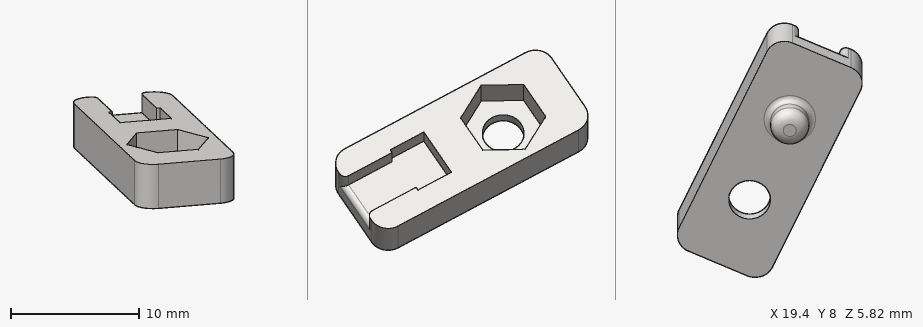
import cadquery as cq
import math

length = 19.43
width = 8.0
body_height = 3.6
corner_radius = 1.5

slot_width = 3.6
slot_depth = 1.5
entry_radius = 0.5
pocket_width = 4.15
pocket_start = -5.25
pocket_end = -2.2

bolt_x = 3.77
bolt_diameter = 3.25
nut_across_flats = 5.73
nut_depth = 2.6

pin_x = -3.75
pin_diameter = 3.0
pin_length = 2.22
pin_tip_radius = 1.0
pin_root_radius = 0.5


def box_between(x_start, x_end, y_size, depth):
    """Box centred on Y, reaching down from the top face."""
    return (
        cq.Workplane("XY", origin=((x_start + x_end) / 2, 0, body_height))
        .rect(x_end - x_start, y_size)
        .extrude(-depth)
    )


def make_body():
    return (
        cq.Workplane("XY")
        .rect(length, width)
        .extrude(body_height)
        .edges("|Z")
        .fillet(corner_radius)
    )


def cut_pocket(body):
    """Cut the slot, round its mouth, then cut the wider inner pocket."""
    slotted = body.cut(box_between(-length / 2, pocket_end, slot_width, slot_depth))
    mouth = cq.selectors.BoxSelector(
        (-length / 2 - 0.2, -slot_width / 2 - 0.2, body_height - slot_depth - 0.2),
        (-length / 2 + 0.2, slot_width / 2 + 0.2, body_height - 0.2),
    )
    rounded = slotted.edges(mouth).fillet(entry_radius)
    return rounded.cut(box_between(pocket_start, pocket_end, pocket_width, slot_depth))


def make_bolt_cutter():
    nut_across_corners = nut_across_flats / math.cos(math.pi / 6)
    nut = (
        cq.Workplane("XY", origin=(bolt_x, 0, body_height))
        .transformed(rotate=(0, 0, 30))
        .polygon(6, nut_across_corners)
        .extrude(-nut_depth)
    )
    hole = cq.Workplane("XY", origin=(bolt_x, 0, 0)).circle(bolt_diameter / 2).extrude(body_height)
    return nut.union(hole)


def make_pin():
    """Revolve the half profile: flared root at the top, rounded tip below."""
    radius = pin_diameter / 2
    diagonal = math.sqrt(0.5)
    root_mid = (
        radius + pin_root_radius * (1 - diagonal),
        -pin_root_radius * (1 - diagonal),
    )
    tip_mid = (
        radius - pin_tip_radius * (1 - diagonal),
        -pin_length + pin_tip_radius * (1 - diagonal),
    )
    return (
        cq.Workplane("XZ", origin=(pin_x, 0, 0))
        .lineTo(radius + pin_root_radius, 0)
        .threePointArc(root_mid, (radius, -pin_root_radius))
        .lineTo(radius, -pin_length + pin_tip_radius)
        .threePointArc(tip_mid, (radius - pin_tip_radius, -pin_length))
        .lineTo(0, -pin_length)
        .close()
        .revolve(360, (0, 0, 0), (0, 1, 0))
    )


result = cut_pocket(make_body()).cut(make_bolt_cutter()).union(make_pin())